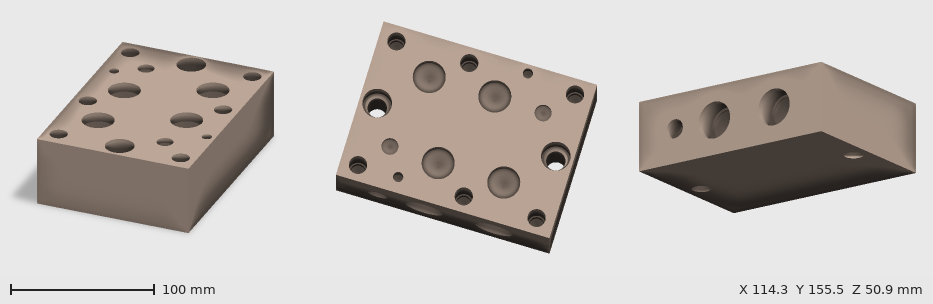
import cadquery as cq
import math

WIDTH = 114.3
LENGTH = 155.5
HEIGHT = 50.9

DRILL_POINT_ANGLE = 118.0

BOLT_DIAMETER = 12.8
BOLT_DRILL_DIAMETER = 10.7
BOLT_THREAD_DEPTH = 21.8
BOLT_DRILL_DEPTH = 26.5

BOLT_X = 46.0
CORNER_BOLT_Y = 65.0
MIDDLE_BOLT_Y = 12.0

FLOW_PORT_DIAMETER = 23.0
FLOW_PORT_DEPTH = 7.0
FLOW_PORT_X = 28.5
FLOW_PORT_OUTER_Y = 35.8
FLOW_PORT_INNER_Y = MIDDLE_BOLT_Y

PILOT_DIAMETER = 11.8
PILOT_DEPTH = 3.7
PILOT_X = 26.9
PILOT_Y = 47.6

PIN_DIAMETER = 7.2
PIN_DEPTH = 7.8
LEFT_PIN_CENTER = (-BOLT_X, FLOW_PORT_OUTER_Y)
RIGHT_PIN_CENTER = (50.9, -29.2)

MOUNT_DIAMETER = 13.5
MOUNT_HEAD_DIAMETER = 20.7
MOUNT_HEAD_DEPTH = 15.5

SIDE_PORT_DIAMETER = 26.9
SIDE_PORT_DRILL_DIAMETER = 23.0
SIDE_PORT_THREAD_DEPTH = 15.9
SIDE_PORT_DRILL_DEPTH = 16.6
SIDE_PORT_YS = (13.5, -37.3)

SIDE_PILOT_DIAMETER = 13.8
SIDE_PILOT_DRILL_DIAMETER = 10.7
SIDE_PILOT_THREAD_DEPTH = 14.0
SIDE_PILOT_DRILL_DEPTH = 17.1
SIDE_PILOT_Y = 47.3


def drilled(diameter, depth):
    """Cutter pointing down from the origin, with a conical drill point below its depth."""
    radius = diameter / 2
    point_length = radius / math.tan(math.radians(DRILL_POINT_ANGLE / 2))
    profile = [(0, 0), (radius, 0), (radius, -depth), (0, -depth - point_length)]
    return cq.Workplane("XZ").polyline(profile).close().revolve(360, (0, 0, 0), (0, 1, 0))


def tapped(diameter, thread_depth, drill_diameter, drill_depth):
    """Cutter for a threaded hole: a wide threaded part above a deeper pointed drill hole."""
    thread = cq.Workplane("XY").circle(diameter / 2).extrude(-thread_depth)
    return drilled(drill_diameter, drill_depth).union(thread)


def cut_top(body, cutter, centers):
    """Cut the same hole into the top face at each (x, y) centre."""
    for x, y in centers:
        body = body.cut(cutter.translate((x, y, 0)))
    return body


def cut_side(body, cutter, y_positions):
    """Cut the same hole into the -X side, at mid height, at each y position."""
    sideways = cutter.rotate((0, 0, 0), (0, 1, 0), -90)
    for y in y_positions:
        body = body.cut(sideways.translate((-WIDTH / 2, y, -HEIGHT / 2)))
    return body


block = cq.Workplane("XY").box(WIDTH, LENGTH, HEIGHT, centered=(True, True, False))
block = block.translate((0, 0, -HEIGHT))

bolt_centers = [(x, y) for x in (-BOLT_X, BOLT_X) for y in (-CORNER_BOLT_Y, CORNER_BOLT_Y)]
bolt_centers += [(-BOLT_X, -MIDDLE_BOLT_Y), (BOLT_X, MIDDLE_BOLT_Y)]
bolt_hole = tapped(BOLT_DIAMETER, BOLT_THREAD_DEPTH, BOLT_DRILL_DIAMETER, BOLT_DRILL_DEPTH)
block = cut_top(block, bolt_hole, bolt_centers)

for side in (-1, 1):
    flow_centers = [
        (side * FLOW_PORT_X, side * FLOW_PORT_OUTER_Y),
        (side * FLOW_PORT_X, -side * FLOW_PORT_INNER_Y),
    ]
    block = cut_top(block, drilled(FLOW_PORT_DIAMETER, FLOW_PORT_DEPTH), flow_centers)
    block = cut_top(block, drilled(PILOT_DIAMETER, PILOT_DEPTH), [(side * PILOT_X, -side * PILOT_Y)])

block = cut_top(block, drilled(PIN_DIAMETER, PIN_DEPTH), [LEFT_PIN_CENTER, RIGHT_PIN_CENTER])

mount_shank = cq.Workplane("XY").circle(MOUNT_DIAMETER / 2).extrude(-HEIGHT)
mount_head = cq.Workplane("XY").circle(MOUNT_HEAD_DIAMETER / 2).extrude(-MOUNT_HEAD_DEPTH)
mount_hole = mount_shank.union(mount_head)
block = cut_top(block, mount_hole, [(0, -CORNER_BOLT_Y), (0, CORNER_BOLT_Y)])

side_port = tapped(
    SIDE_PORT_DIAMETER, SIDE_PORT_THREAD_DEPTH, SIDE_PORT_DRILL_DIAMETER, SIDE_PORT_DRILL_DEPTH
)
block = cut_side(block, side_port, SIDE_PORT_YS)

side_pilot = tapped(
    SIDE_PILOT_DIAMETER, SIDE_PILOT_THREAD_DEPTH, SIDE_PILOT_DRILL_DIAMETER, SIDE_PILOT_DRILL_DEPTH
)
block = cut_side(block, side_pilot, [SIDE_PILOT_Y])

result = block